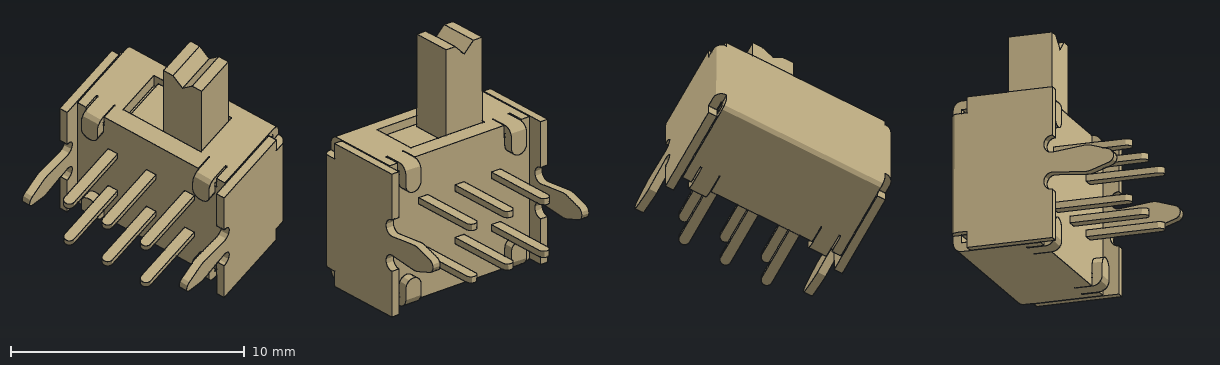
import cadquery as cq
import math


shell_width = 8.6
shell_height = 6.8
sheet = 0.4
bend_radius = 0.4
back_y = 4.0
side_gap = 0.05
side_front_y = -0.7
relief_front_y = back_y - 2 * sheet
side_bend_half_height = 2.67

leg_tip_y = -3.5
leg_root_half = 0.45
leg_notch_radius = 0.385
leg_wide_y = -2.33
leg_wide_fillet = 0.85
leg_tip_radius = 0.315
leg_taper_angle = math.radians(18)

tab_x = 2.91
tab_width = 0.84
tab_thickness = 0.46
tab_bend_radius = 0.45
tab_length = 1.36
tab_slot_inner_gap = 0.03
tab_slot_outer_gap = 0.08
tab_slot_depth = 0.58
tab_slot_back_y = 0.8

pin_pitch = 2.0
pin_row_z = 1.25
pin_width = 0.5
pin_thickness = 0.3
pin_tip_y = leg_tip_y

window_width = 4.06
window_front_y = 0.81
window_back_y = 3.1
slider_plate_start_x = -1.8
slider_plate_thickness = 0.3
slider_plate_overhang = 0.2
lever_x = 1.0
lever_y = 1.91
lever_size = 2.0
lever_top_z = 7.4
groove_depth = 0.5

half_height = shell_height / 2
inner_top_z = half_height - sheet
back_inner_y = back_y - sheet
wall_inner_x = shell_width / 2 - sheet
core_width = 2 * (wall_inner_x - side_gap)
slider_bottom_z = inner_top_z - slider_plate_thickness

leg_tip_half = leg_tip_radius * math.cos(leg_taper_angle)
leg_tip_start_y = leg_tip_y + leg_tip_radius * (1 - math.sin(leg_taper_angle))
leg_wide_half = leg_tip_half + (leg_wide_y - leg_tip_start_y) * math.tan(leg_taper_angle)


def box(x0, x1, y0, y1, z0, z1):
    """Box between two opposite corners."""
    return cq.Workplane("XY").box(x1 - x0, y1 - y0, z1 - z0, centered=False).translate((x0, y0, z0))


def make_core():
    """Housing with the top, bottom and back sheets, relieved at the two back bends."""
    core = box(-core_width / 2, core_width / 2, 0, back_y, -half_height, half_height)
    core = core.edges("|X and >Y").fillet(bend_radius)
    for z0, z1 in ((side_bend_half_height, inner_top_z), (-inner_top_z, -side_bend_half_height)):
        core = core.cut(box(-core_width / 2, core_width / 2, relief_front_y, back_inner_y, z0, z1))
    return core


def side_wall_profile():
    """Side wall outline in Y and Z, with the mounting leg between two round notches."""
    notch_z = leg_root_half + leg_notch_radius
    notch_outer_z = notch_z + leg_notch_radius
    notch_bottom_y = side_front_y + leg_notch_radius
    return (
        cq.Workplane("YZ")
        .moveTo(relief_front_y, half_height)
        .lineTo(side_front_y, half_height)
        .lineTo(side_front_y, notch_outer_z)
        .threePointArc((notch_bottom_y, notch_z), (side_front_y, leg_root_half))
        .lineTo(leg_wide_y, leg_wide_half)
        .lineTo(leg_tip_start_y, leg_tip_half)
        .threePointArc((leg_tip_y, 0), (leg_tip_start_y, -leg_tip_half))
        .lineTo(leg_wide_y, -leg_wide_half)
        .lineTo(side_front_y, -leg_root_half)
        .threePointArc((notch_bottom_y, -notch_z), (side_front_y, -notch_outer_z))
        .lineTo(side_front_y, -half_height)
        .lineTo(relief_front_y, -half_height)
        .close()
    )


def make_side_wall():
    """Wall on the +X side, with its bend around to the back sheet."""
    wall = side_wall_profile().extrude(sheet)
    leg_shoulders = cq.selectors.BoxSelector(
        (0, leg_wide_y - sheet / 2, -half_height),
        (sheet, leg_wide_y + sheet / 2, half_height),
    )
    wall = wall.edges(leg_shoulders).fillet(leg_wide_fillet).translate((wall_inner_x, 0, 0))
    outer_x = wall_inner_x + sheet
    bend = box(
        wall_inner_x, outer_x, relief_front_y, back_y, -side_bend_half_height, side_bend_half_height
    )
    back_strip = box(
        core_width / 2, wall_inner_x, back_inner_y, back_y, -side_bend_half_height, side_bend_half_height
    )
    bend = bend.union(back_strip).edges("|Z and >X and >Y").fillet(bend_radius)
    return wall.union(bend)


def make_tab_slot():
    """Clearance beside and under the tab at +X and +Z."""
    x0 = tab_x - tab_width / 2 - tab_slot_inner_gap
    x1 = tab_x + tab_width / 2 + tab_slot_outer_gap
    return box(x0, x1, 0, tab_slot_back_y, half_height - tab_slot_depth, half_height)


def make_tab():
    """Tab at +X and +Z: flat on top, bent down over the front face, with a round end."""
    x0 = tab_x - tab_width / 2
    x1 = tab_x + tab_width / 2
    tip_z = half_height - tab_length
    root = box(x0, x1, 0, tab_slot_back_y, inner_top_z, half_height)
    flap = box(x0, x1, -tab_thickness, 0, tip_z, half_height)
    flap = flap.edges("|X and >Z and <Y").fillet(tab_bend_radius)
    round_end = (
        cq.Workplane("XZ")
        .center(tab_x, tip_z + tab_width / 2)
        .circle(tab_width / 2)
        .extrude(tab_thickness)
    )
    square_end = box(x0, x1, -tab_thickness, 0, tip_z, tip_z + tab_width / 2)
    return root.union(flap.cut(square_end).union(round_end))


def mirror_to_corners(shape):
    """Copies of a +X, +Z shape at all four corners of the front face."""
    pair = [shape, shape.mirror("YZ")]
    return pair + [half.mirror("XY") for half in pair]


def make_pin(x, z):
    """Flat pin with a round tip, starting at the front face."""
    half_width = pin_width / 2
    tip_centre_y = pin_tip_y + half_width
    return (
        cq.Workplane("XY")
        .moveTo(x - half_width, 0)
        .lineTo(x - half_width, tip_centre_y)
        .threePointArc((x, pin_tip_y), (x + half_width, tip_centre_y))
        .lineTo(x + half_width, 0)
        .close()
        .extrude(pin_thickness)
        .translate((0, 0, z - pin_thickness / 2))
    )


def make_window():
    """Opening through the top sheet, deepened beside the slider plate."""
    x0 = -window_width / 2
    opening = box(x0, -x0, window_front_y, window_back_y, inner_top_z, half_height)
    pocket = box(x0, slider_plate_start_x, window_front_y, window_back_y, slider_bottom_z, inner_top_z)
    return opening.union(pocket)


def make_slider_plate():
    """Part of the slider plate that reaches into the rear relief."""
    plate_end_x = 2 * lever_x - slider_plate_start_x
    return box(
        slider_plate_start_x, plate_end_x,
        window_back_y, window_back_y + slider_plate_overhang,
        slider_bottom_z, inner_top_z,
    )


def make_lever():
    """Square lever with a right-angled V groove across its top."""
    half_size = lever_size / 2
    return (
        cq.Workplane("XZ")
        .moveTo(lever_x - half_size, inner_top_z)
        .lineTo(lever_x - half_size, lever_top_z)
        .lineTo(lever_x - groove_depth, lever_top_z)
        .lineTo(lever_x, lever_top_z - groove_depth)
        .lineTo(lever_x + groove_depth, lever_top_z)
        .lineTo(lever_x + half_size, lever_top_z)
        .lineTo(lever_x + half_size, inner_top_z)
        .close()
        .extrude(lever_size)
        .translate((0, lever_y + half_size, 0))
    )


body = make_core().cut(make_window())
for slot in mirror_to_corners(make_tab_slot()):
    body = body.cut(slot)
for tab in mirror_to_corners(make_tab()):
    body = body.union(tab)

side_wall = make_side_wall()
body = body.union(side_wall).union(side_wall.mirror("YZ"))

for column in (-1, 0, 1):
    for row in (-1, 1):
        body = body.union(make_pin(column * pin_pitch, row * pin_row_z))

result = body.union(make_slider_plate()).union(make_lever())